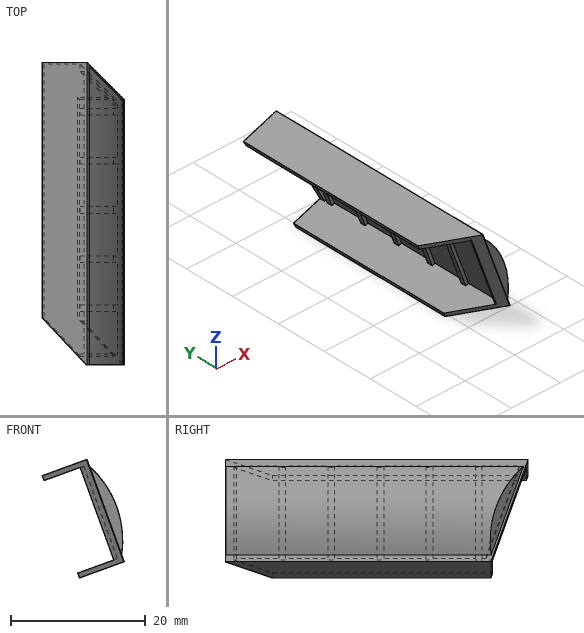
import cadquery as cq
import math

TILT = 20.0
LENGTH = 45.0
HEIGHT = 16.2
DEPTH = 7.1
WALL = 0.8

RIB_HEIGHT = 0.6
RIB_WIDTH = 1.0
RIB_PITCH = 7.3
RIB_COUNT = 6
FIRST_RIB_Y = 1.15

FRONT_LAND = 0.1

CROWN_INSET = 1.1
CROWN_RISE = 1.75
CROWN_FRONT_GAP = 0.1
CROWN_REAR_GAP = 0.33

REAR_SETBACK = HEIGHT * math.sin(math.radians(TILT))
MARGIN = 2.0


def tilt(body):
    return body.rotate((0, 0, 0), (0, 1, 0), -TILT)


def make_channel():
    """C-shaped section with thin flanges, open toward -X."""
    outer = cq.Workplane("XY").box(DEPTH, LENGTH, HEIGHT, centered=False)
    inner = cq.Workplane("XY").box(
        DEPTH - WALL, LENGTH, HEIGHT - 2 * WALL, centered=False
    ).translate((0, 0, WALL))
    return outer.cut(inner).translate((-DEPTH, 0, -HEIGHT))


def side_prism(points, x_start, thickness):
    """Extrude a (y, z) outline toward -X, starting at x_start."""
    return cq.Workplane("YZ").workplane(offset=x_start).polyline(points).close().extrude(-thickness)


def add_ribs(body):
    """Evenly spaced upright ribs and one slanted rib along the rear end."""
    for index in range(RIB_COUNT):
        rib_start = FIRST_RIB_Y + index * RIB_PITCH - RIB_WIDTH / 2
        upright_rib = [
            (rib_start, 0),
            (rib_start + RIB_WIDTH, 0),
            (rib_start + RIB_WIDTH, -HEIGHT),
            (rib_start, -HEIGHT),
        ]
        body = body.union(side_prism(upright_rib, -WALL, RIB_HEIGHT))
    run = RIB_WIDTH * math.hypot(HEIGHT, REAR_SETBACK) / HEIGHT
    slanted_rib = [
        (LENGTH, 0),
        (LENGTH - REAR_SETBACK, -HEIGHT),
        (LENGTH - REAR_SETBACK - run, -HEIGHT),
        (LENGTH - run, 0),
    ]
    return body.union(side_prism(slanted_rib, -WALL, RIB_HEIGHT))


def cut_front_mitre(body):
    """45 degree cut that shortens the flanges toward their tips."""
    reach = DEPTH + MARGIN
    wedge = (
        cq.Workplane("XY")
        .polyline([(-FRONT_LAND, 0), (-reach, reach - FRONT_LAND), (-reach, 0)])
        .close()
        .extrude(-HEIGHT)
    )
    return body.cut(wedge)


def cut_rear_slant(body):
    """Slanted cut that shortens the channel toward its bottom edge."""
    wedge = [(LENGTH, 0), (LENGTH, -HEIGHT), (LENGTH - REAR_SETBACK, -HEIGHT)]
    return body.cut(side_prism(wedge, 0, DEPTH))


def make_crown():
    """Shallow arc along the outer web face, mitred in plan at the rear (tilted position)."""
    crown = (
        cq.Workplane("XZ")
        .moveTo(0, -CROWN_INSET)
        .threePointArc((CROWN_RISE, -HEIGHT / 2), (0, CROWN_INSET - HEIGHT))
        .close()
        .extrude(-(LENGTH - CROWN_FRONT_GAP))
        .translate((0, CROWN_FRONT_GAP, 0))
    )
    rear_y = LENGTH - CROWN_REAR_GAP
    reach = REAR_SETBACK + CROWN_RISE + MARGIN
    rear_mitre = (
        cq.Workplane("XY")
        .workplane(offset=-HEIGHT - MARGIN)
        .polyline([(-MARGIN, rear_y + MARGIN), (reach, rear_y - reach), (reach, rear_y + MARGIN)])
        .close()
        .extrude(HEIGHT + 2 * MARGIN)
    )
    return tilt(crown).cut(rear_mitre)


channel = cut_rear_slant(cut_front_mitre(add_ribs(make_channel())))
result = tilt(channel).union(make_crown())